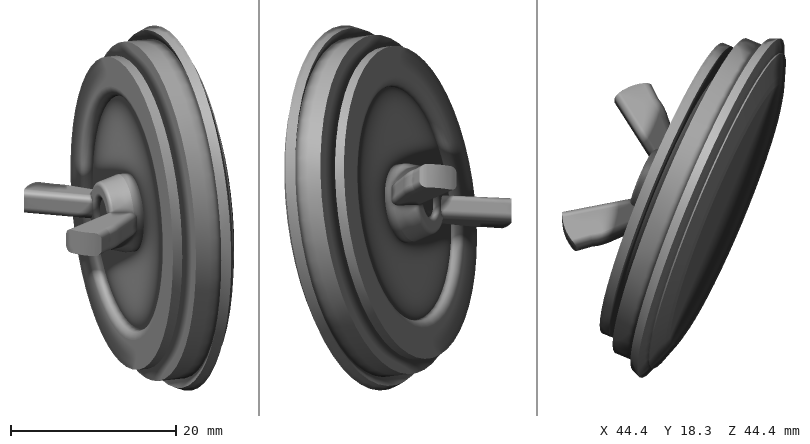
import cadquery as cq
import math


overall_radius = 22.22
drum_radius = 41.3 / 2
rear_face_radius = 17.05
rear_bevel_depth = 0.22
rear_bevel_radius = 17.95
rear_cone_depth = 1.2
drum_front_depth = 6.05

seal_rear_depth = 1.4
seal_rim_depth = 2.1
seal_front_depth = 3.2
seal_inner_front_depth = 2.65
seal_front_radius = 21.8
seal_seat_radius = 19.1

plate_radius = 38.1 / 2
sheet_thickness = 1.2
plate_front_depth = 8.45
plate_rear_depth = plate_front_depth - sheet_thickness
pan_outer_radius = 15.42
pan_inner_radius = pan_outer_radius - sheet_thickness
pan_rear_depth = drum_front_depth
pan_floor_depth = pan_rear_depth + sheet_thickness
pan_corner_radius = plate_rear_depth - pan_rear_depth
pan_lip_radius = sheet_thickness

stud_radius = 4.05 / 2
stud_rear_depth = 2.65
stud_front_depth = 10.55

hub_radius = 9.5 / 2
hub_front_depth = 11.2
hub_taper_angle = 15.0
hub_front_radius = hub_radius - (hub_front_depth - plate_front_depth) * math.tan(math.radians(hub_taper_angle))
hub_edge_fillet = 0.55
bore_edge_fillet = 0.65
wing_thickness = 2.95
wing_edge_fillet = 0.85
overall_depth = 18.25
wing_root_x = 2.9
wing_root_depth = 8.0
wing_shoulder = (8.25, 11.35)
wing_bend_middle = (9.25, 12.25)
wing_bend_end = (10.0, 13.4)
wing_outer_tip = (11.3, 14.9)
wing_tip_middle = (9.8, 17.1)
wing_inner_tip = (7.85, overall_depth)
wing_outer_root_x = 4.62
wing_inner_middle_depth = 15.1
wing_edge_limit_x = 10.75


def revolve(profile):
    """Turn a closed (radius, -depth) profile about the Y axis."""
    return profile.close().revolve(360, (0, 0, 0), (0, 1, 0))


def disc(radius, rear_depth, front_depth):
    """Cylinder on the Y axis between two depths."""
    return cq.Workplane("XZ", origin=(0, -rear_depth, 0)).circle(radius).extrude(front_depth - rear_depth)


def make_pan_envelope():
    """Solid shape of the pan's outside, with a rounded rear corner."""
    pan = disc(pan_outer_radius, pan_rear_depth, plate_front_depth)
    return pan.faces(">Y").edges().fillet(pan_corner_radius)


def make_stud():
    return disc(stud_radius, stud_rear_depth, stud_front_depth)


def make_seal():
    profile = (
        cq.Workplane("XY")
        .moveTo(seal_seat_radius, -seal_rear_depth)
        .lineTo(drum_radius, -seal_rear_depth)
        .lineTo(overall_radius, -seal_rim_depth)
        .lineTo(seal_front_radius, -seal_front_depth)
        .lineTo(drum_radius, -seal_inner_front_depth)
        .lineTo(seal_seat_radius, -seal_inner_front_depth)
    )
    return revolve(profile)


def make_cover():
    profile = (
        cq.Workplane("XY")
        .moveTo(0, 0)
        .lineTo(rear_face_radius, 0)
        .lineTo(rear_bevel_radius, -rear_bevel_depth)
        .lineTo(drum_radius, -rear_cone_depth)
        .lineTo(drum_radius, -drum_front_depth)
        .lineTo(0, -drum_front_depth)
    )
    return revolve(profile).cut(make_seal()).cut(make_stud())


def make_plate():
    rim = disc(plate_radius, plate_rear_depth, plate_front_depth)
    plate = rim.union(make_pan_envelope())
    plate = plate.cut(disc(pan_inner_radius, pan_floor_depth, plate_front_depth))
    lip = cq.Workplane("XY").moveTo(pan_inner_radius, -plate_front_depth)
    lip = lip.lineTo(pan_outer_radius, -plate_front_depth)
    diagonal = pan_lip_radius * math.sqrt(0.5)
    lip = lip.threePointArc(
        (pan_outer_radius - diagonal, -plate_front_depth + pan_lip_radius - diagonal),
        (pan_inner_radius, -plate_front_depth + pan_lip_radius),
    )
    return plate.cut(revolve(lip)).cut(make_stud())


def make_wing():
    """Wing on the +X side, with its long edges rounded."""
    corners = [wing_shoulder, wing_bend_middle, wing_bend_end, wing_outer_tip, wing_tip_middle, wing_inner_tip]
    shoulder, bend_middle, bend_end, outer_tip, tip_middle, inner_tip = [(x, -depth) for x, depth in corners]
    wing = (
        cq.Workplane("XY")
        .moveTo(wing_root_x, -wing_root_depth)
        .lineTo(wing_outer_root_x, -wing_root_depth)
        .lineTo(*shoulder)
        .threePointArc(bend_middle, bend_end)
        .lineTo(*outer_tip)
        .threePointArc(tip_middle, inner_tip)
        .lineTo(wing_root_x, -hub_front_depth)
        .close()
        .extrude(wing_thickness / 2, both=True)
    )
    long_edges = wing.faces("|Z").edges(cq.selectors.BoxSelector(
        (wing_outer_root_x, -wing_inner_middle_depth, -wing_thickness),
        (wing_edge_limit_x, -wing_root_depth, wing_thickness),
    ))
    wing = long_edges.fillet(wing_edge_fillet)
    return wing


def make_wing_nut():
    hub_profile = (
        cq.Workplane("XY")
        .moveTo(0, -pan_floor_depth)
        .lineTo(hub_radius, -pan_floor_depth)
        .lineTo(hub_radius, -plate_front_depth)
        .lineTo(hub_front_radius, -hub_front_depth)
        .lineTo(0, -hub_front_depth)
    )
    hub = revolve(hub_profile).faces("<Y").edges().fillet(hub_edge_fillet)
    bore = disc(stud_radius, pan_floor_depth, hub_front_depth)
    hub = hub.cut(bore).faces("<Y").edges("%CIRCLE").edges(cq.selectors.RadiusNthSelector(0))
    hub = hub.fillet(bore_edge_fillet)
    wing = make_wing()
    return hub.union(wing).union(wing.mirror("YZ"))


cover = make_cover()
seal = make_seal()
plate = make_plate()
stud = make_stud()
wing_nut = make_wing_nut()

result = cq.Compound.makeCompound([cover.val(), seal.val(), plate.val(), stud.val(), wing_nut.val()])